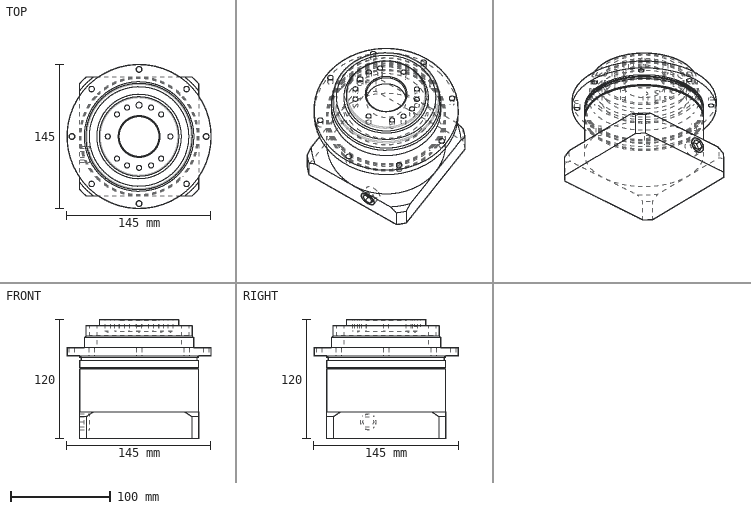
import cadquery as cq
import math

foot_width = 120.0
foot_height = 27.0
foot_corner_radius = 80.0
foot_corner_chamfer = 4.6

barrel_radius = 59.9
barrel_top = 70.9
barrel_chamfer = 1.0
slit_radius = 59.0
slit_top = 71.5
neck_radius = 58.5
neck_bottom = 78.7
neck_top = 81.6
flange_radius = 72.5
flange_bottom = 83.2
flange_top = 91.5
pilot_radius = 55.1
nose_radius = 53.5
pilot_top = 103.1
pilot_chamfer = pilot_radius - nose_radius
nose_top = 114.0
nose_fillet = 1.0

flange_hole_count = 8
flange_hole_circle_radius = 67.4
flange_hole_diameter = 5.5

seal_radius = 50.0
seal_depth = 10.0

shoulder_radius = 42.5
shaft_radius = 40.0
shaft_bottom = flange_top
shaft_top = 120.0
shaft_fillet = 1.0
bore_radius = 20.0
bore_floor = 107.7
bore_chamfer = 1.0

face_hole_circle_radius = 31.5
thread_hole_diameter = 5.1
thread_hole_depth = 11.6
drill_point_angle = 118.0
thread_hole_angles = [0, 45, 67.5, 112.5, 135, 180, 225, 247.5, 270, 292.5, 315]
dowel_hole_diameter = 6.1
dowel_hole_depth = 7.2
dowel_hole_angle = 90

plug_y = -18.0
plug_z = 17.0
plug_radius = 8.0
plug_length = 10.0
plug_chamfer = 0.3
socket_across_flats = 10.0
socket_depth = 5.0


def polar(radius, angle):
    """Point on a circle about the Z axis, with the angle in degrees from +X."""
    return (radius * math.cos(math.radians(angle)), radius * math.sin(math.radians(angle)))


def revolve_about_z(outline):
    """Solid of revolution from (radius, height) points."""
    return cq.Workplane("XZ").polyline(outline).close().revolve(360, (0, 0), (0, 1))


def plug_blank():
    """Plain plug shape, also used to cut the hole that the plug fills."""
    side = cq.Workplane("YZ", origin=(-foot_width / 2, plug_y, plug_z))
    return side.circle(plug_radius).extrude(plug_length)


def make_foot():
    """Square foot of the housing."""
    block = cq.Workplane("XY").rect(foot_width, foot_width).extrude(foot_height)
    corner_turning = (
        cq.Workplane("XY")
        .circle(foot_corner_radius)
        .extrude(foot_height)
        .faces(">Z")
        .chamfer(foot_corner_chamfer)
    )
    return block.intersect(corner_turning)


def make_barrel():
    """Round upper part of the housing, still solid inside."""
    barrel = revolve_about_z([
        (0, foot_height),
        (barrel_radius, foot_height),
        (barrel_radius, barrel_top - barrel_chamfer),
        (barrel_radius - barrel_chamfer, barrel_top),
        (slit_radius, barrel_top),
        (slit_radius, slit_top),
        (barrel_radius, slit_top),
        (barrel_radius, neck_bottom),
        (neck_radius, neck_bottom),
        (neck_radius, neck_top),
        (barrel_radius, neck_top),
        (barrel_radius, flange_bottom),
        (flange_radius, flange_bottom),
        (flange_radius, flange_top),
        (pilot_radius, flange_top),
        (pilot_radius, pilot_top - pilot_chamfer),
        (nose_radius, pilot_top),
        (nose_radius, nose_top),
        (0, nose_top),
    ])
    return barrel.faces(">Z").edges().fillet(nose_fillet)


def make_housing():
    flange_holes = (
        cq.Workplane("XY", origin=(0, 0, flange_bottom))
        .polarArray(flange_hole_circle_radius, 0, 360, flange_hole_count)
        .circle(flange_hole_diameter / 2)
        .extrude(flange_top - flange_bottom)
    )
    shaft_seat = (
        cq.Workplane("XY", origin=(0, 0, shaft_bottom))
        .circle(shoulder_radius)
        .extrude(nose_top - shaft_bottom)
    )
    seal_seat = cq.Workplane("XY", origin=(0, 0, nose_top)).circle(seal_radius).extrude(-seal_depth)
    housing = make_foot().union(make_barrel())
    for cutter in [flange_holes, shaft_seat, seal_seat, plug_blank()]:
        housing = housing.cut(cutter)
    return housing


def make_seal():
    ring = cq.Workplane("XY", origin=(0, 0, nose_top)).circle(seal_radius).circle(shoulder_radius)
    return ring.extrude(-seal_depth)


def thread_hole_cutter(angle):
    """Blind drilled hole ending in a drill point."""
    radius = thread_hole_diameter / 2
    point_length = radius / math.tan(math.radians(drill_point_angle / 2))
    hole_floor = shaft_top - thread_hole_depth
    cutter = revolve_about_z([
        (0, shaft_top),
        (radius, shaft_top),
        (radius, hole_floor),
        (0, hole_floor - point_length),
    ])
    x, y = polar(face_hole_circle_radius, angle)
    return cutter.translate((x, y, 0))


def make_shaft():
    shaft = revolve_about_z([
        (0, shaft_bottom),
        (shoulder_radius, shaft_bottom),
        (shoulder_radius, nose_top),
        (shaft_radius, nose_top),
        (shaft_radius, shaft_top),
        (0, shaft_top),
    ])
    shaft = shaft.faces(">Z").edges().fillet(shaft_fillet)
    bore = revolve_about_z([
        (0, bore_floor),
        (bore_radius, bore_floor),
        (bore_radius, shaft_top - bore_chamfer),
        (bore_radius + bore_chamfer, shaft_top),
        (0, shaft_top),
    ])
    shaft = shaft.cut(bore)
    for angle in thread_hole_angles:
        shaft = shaft.cut(thread_hole_cutter(angle))
    x, y = polar(face_hole_circle_radius, dowel_hole_angle)
    dowel_hole = (
        cq.Workplane("XY", origin=(x, y, shaft_top - dowel_hole_depth))
        .circle(dowel_hole_diameter / 2)
        .extrude(dowel_hole_depth)
    )
    return shaft.cut(dowel_hole)


def make_plug():
    across_corners = socket_across_flats / math.cos(math.radians(30))
    socket = (
        cq.Workplane("YZ", origin=(-foot_width / 2, plug_y, plug_z))
        .polygon(6, across_corners)
        .extrude(socket_depth)
    )
    return plug_blank().faces("<X").chamfer(plug_chamfer).cut(socket)


housing = make_housing()
seal = make_seal()
shaft = make_shaft()
plug = make_plug()

result = cq.Compound.makeCompound([housing.val(), seal.val(), shaft.val(), plug.val()])